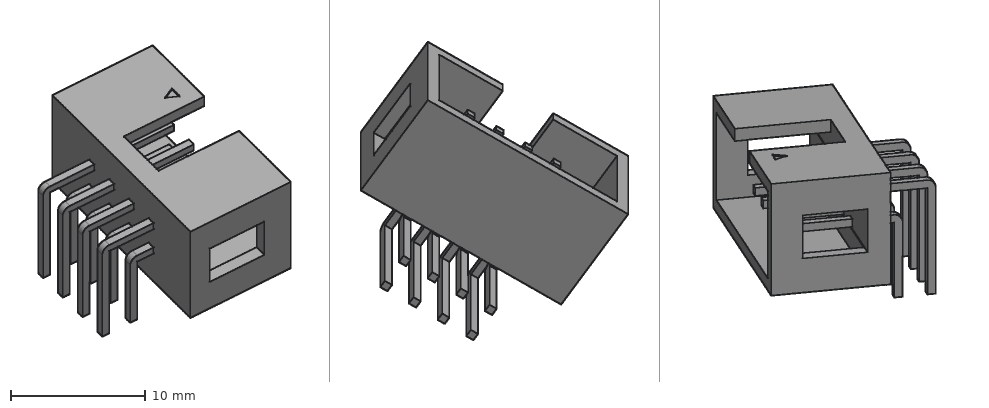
import cadquery as cq
import math

HOUSING_WIDTH = 17.78
HOUSING_DEPTH = 9.15
HOUSING_HEIGHT = 9.0
WALL = 1.0
BACK_WALL = 1.81

KEY_SLOT_WIDTH = 4.46
WINDOW_BACK_OFFSET = 1.76
WINDOW_LENGTH = 4.98
WINDOW_HEIGHT = 3.47

MARK_SIZE = 1.01
MARK_FRONT_OFFSET = 1.48
MARK_DEPTH = 0.1

PIN_COLUMNS = 4
PITCH = 2.55
PIN_SIZE = 0.64
PIN_TIP_Y = 7.29
UPPER_LEG_REACH = 4.65
LEG_BELOW_HOUSING = 3.11

TOP_Z = HOUSING_HEIGHT / 2
PIN_BOTTOM_Z = -TOP_Z - LEG_BELOW_HOUSING
COLUMN_XS = [(i - (PIN_COLUMNS - 1) / 2) * PITCH for i in range(PIN_COLUMNS)]
ROWS = [(PITCH / 2, UPPER_LEG_REACH), (-PITCH / 2, UPPER_LEG_REACH - PITCH)]


def box_between(x_range, y_range, z_range):
    """Axis-aligned box given its limits along each axis."""
    (x0, x1), (y0, y1), (z0, z1) = x_range, y_range, z_range
    return cq.Workplane("XY").box(x1 - x0, y1 - y0, z1 - z0, centered=False).translate((x0, y0, z0))


def make_pin(x, axis_z, leg_reach):
    """One bent pin: an L profile with a rounded outer corner and a sharp inner one."""
    top = axis_z + PIN_SIZE / 2
    bottom = axis_z - PIN_SIZE / 2
    leg_outer = -leg_reach
    leg_inner = leg_outer + PIN_SIZE
    arc_offset = PIN_SIZE * math.sqrt(0.5)
    profile = (
        cq.Workplane("YZ")
        .moveTo(PIN_TIP_Y, top)
        .lineTo(leg_inner, top)
        .threePointArc((leg_inner - arc_offset, bottom + arc_offset), (leg_outer, bottom))
        .lineTo(leg_outer, PIN_BOTTOM_Z)
        .lineTo(leg_inner, PIN_BOTTOM_Z)
        .lineTo(leg_inner, bottom)
        .lineTo(PIN_TIP_Y, bottom)
        .close()
    )
    return profile.extrude(PIN_SIZE / 2, both=True).translate((x, 0, 0))


def make_pin_one_mark():
    """Triangular cutter under the top face, in line with the first pin column."""
    base_y = HOUSING_DEPTH - MARK_FRONT_OFFSET
    x = COLUMN_XS[0]
    corners = [(x - MARK_SIZE / 2, base_y), (x + MARK_SIZE / 2, base_y), (x, base_y - MARK_SIZE)]
    return cq.Workplane("XY").workplane(offset=TOP_Z).polyline(corners).close().extrude(-MARK_DEPTH)


def make_housing():
    """Shell with its cavity, key slot, side windows and pin-one mark, before the pin holes."""
    half_width = HOUSING_WIDTH / 2
    inner_x = half_width - WALL
    inner_z = TOP_Z - WALL
    half_slot = KEY_SLOT_WIDTH / 2
    half_window = WINDOW_HEIGHT / 2
    cavity_y = (BACK_WALL, HOUSING_DEPTH)
    window_y = (WINDOW_BACK_OFFSET, WINDOW_BACK_OFFSET + WINDOW_LENGTH)

    shell = box_between((-half_width, half_width), (0, HOUSING_DEPTH), (-TOP_Z, TOP_Z))
    cavity = box_between((-inner_x, inner_x), cavity_y, (-inner_z, inner_z))
    key_slot = box_between((-half_slot, half_slot), cavity_y, (0, TOP_Z))
    windows = box_between((-half_width, half_width), window_y, (-half_window, half_window))
    return shell.cut(cavity).cut(key_slot).cut(windows).cut(make_pin_one_mark())


pins = []
for axis_z, leg_reach in ROWS:
    for column_x in COLUMN_XS:
        pins.append(make_pin(column_x, axis_z, leg_reach))

housing = make_housing()
for pin in pins:
    housing = housing.cut(pin)

result = cq.Compound.makeCompound([housing.val(), *[pin.val() for pin in pins]])